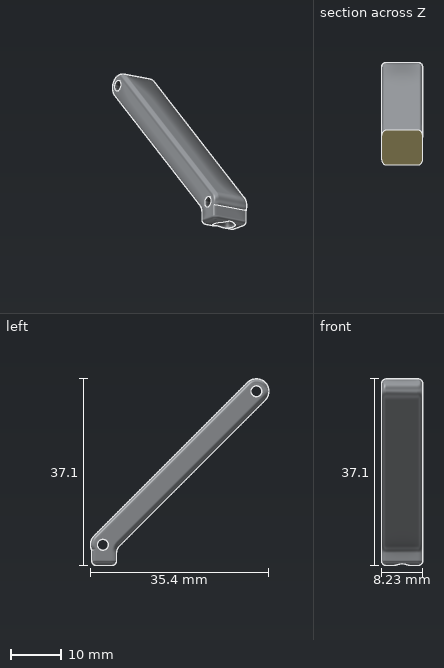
import cadquery as cq
import math

width = 8.23
total_depth = 35.43
total_height = 37.05

arm_thickness = 5.0
arm_radius = arm_thickness / 2
pin_diameter = 2.1
tip_y = -(total_depth - arm_thickness)
tip_z = -tip_y
arm_angle = math.atan2(tip_z, -tip_y)

foot_thickness = 5.0
foot_offset = 0.24
foot_front = -foot_offset - foot_thickness / 2
foot_back = -foot_offset + foot_thickness / 2
foot_bottom = tip_z + arm_radius - total_height

socket_diameter = 4.5
socket_depth = 2.0

bend_radius = 2.0
edge_radius = 1.0


def arm_point(along, across):
    """Return the (y, z) point at a distance along the arm and above its centreline."""
    y = -along * math.cos(arm_angle) + across * math.sin(arm_angle)
    z = along * math.sin(arm_angle) + across * math.cos(arm_angle)
    return y, z


def make_body():
    """Extrude the bent side outline, then round the bend and all outer edges."""
    arm_length = math.hypot(tip_y, tip_z)
    bend_z = (-foot_front * math.sin(arm_angle) - arm_radius) / math.cos(arm_angle)
    arc_end_z = -math.sqrt(arm_radius**2 - foot_back**2)
    outline = (
        cq.Workplane("YZ", origin=(-width / 2, 0, 0))
        .moveTo(foot_front, foot_bottom)
        .lineTo(foot_front, bend_z)
        .lineTo(*arm_point(arm_length, -arm_radius))
        .threePointArc(arm_point(arm_length + arm_radius, 0), arm_point(arm_length, arm_radius))
        .lineTo(*arm_point(0, arm_radius))
        .threePointArc((arm_radius, 0), (foot_back, arc_end_z))
        .lineTo(foot_back, foot_bottom)
        .close()
    )
    body = outline.extrude(width)
    bend_edge = cq.selectors.NearestToPointSelector((0, foot_front, bend_z))
    body = body.edges("|X").edges(bend_edge).fillet(bend_radius)
    bottom_edges = body.faces("<Z").edges("|X").vals()
    side_edges = body.faces("<X or >X").edges().vals()
    return body.newObject(bottom_edges + side_edges).fillet(edge_radius)


def make_pin_hole(y, z):
    """Make a cylinder along X for a pin hole through the full width."""
    plane = cq.Workplane("YZ", origin=(-width / 2, y, z))
    return plane.circle(pin_diameter / 2).extrude(width)


def make_socket():
    """Make the cylinder that cuts the socket up into the foot."""
    plane = cq.Workplane("XY", origin=(0, -foot_offset, foot_bottom))
    return plane.circle(socket_diameter / 2).extrude(socket_depth)


result = make_body()
for hole_y, hole_z in ((0, 0), (tip_y, tip_z)):
    result = result.cut(make_pin_hole(hole_y, hole_z))
result = result.cut(make_socket())